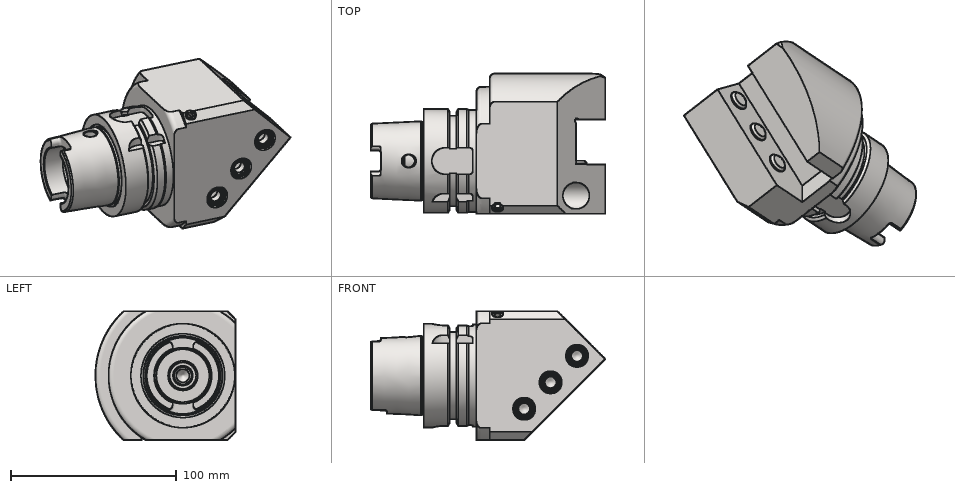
import cadquery as cq
import math


SHANK_LENGTH = 32.0
NOSE_RADIUS = 22.7
NOSE_CHAMFER = 0.9
TAPER_LARGE_RADIUS = 24.1
NECK_WIDTH = 1.7
NECK_BEVEL_WIDTH = 0.8
NECK_RADIUS = 23.8
FACE_GROOVE_RADIUS = 25.4
FACE_GROOVE_DEPTH = 0.8

BORE_RADIUS = 17.0
BORE_MOUTH_CHAMFER = 0.5
UNDERCUT_X = -19.5
BORE_FLOOR_X = -2.0
BORE_FLOOR_RADIUS = 16.0
UNDERCUT_RADIUS = 18.0
UNDERCUT_RAMP = 0.5
POST_RADIUS = 9.0
POST_END_X = -12.3
POST_CHAMFER = 1.0
PILOT_RADIUS = 6.0
PILOT_CHAMFER = 0.75
PILOT_LENGTH = 2.0
DIMPLE_RADIUS = 4.0
DIMPLE_DEPTH = 4.0

DRIVE_WIDTH = 12.5
DRIVE_TOP_DEPTH = 6.2
DRIVE_BOTTOM_DEPTH = 9.8
DRIVE_FLOOR_FILLET = 1.5
DRIVE_FLARE = 2.8
DRIVE_FLARE_START = 17.8
CLAMP_HOLE_DIAMETER = 7.5
CLAMP_RIM_DEPTH = 1.0
CLAMP_HOLE_X = -9.1

FLANGE_RADIUS = 31.5
REAR_COLLAR_RADIUS = 31.0
GROOVE_RADIUS = 27.5
GROOVE_START = 16.0
GROOVE_END = 19.8
GROOVE_CHAMFER = 1.3
COLLAR_STEP_START = 26.1
COLLAR_STEP_END = 27.2
KEY_WIDTH = 16.0
KEY_FLOOR = 26.5
KEY_START = 5.0
KEY_END = 29.8
KEY_CORNER_RADIUS = 2.0
NOTCH_OFFSET = 19.7
NOTCH_START = 4.9
NOTCH_END_RADIUS = 7.4

BODY_START = 32.0
COLLAR_LENGTH = 8.0
COLLAR_RADIUS = 45.0
BODY_RADIUS = 53.0
BODY_REAR_FILLET = 3.0
HALF_HEIGHT = 39.0
FRONT_FACE_Y = -32.0
FRONT_CHAMFER = 5.0
TIP_X = 110.0
TIP_Z = 10.0
TIP_BEVEL_LENGTH = 3.2
TIP_BEVEL_DEPTH = 1.7

SLOT_DEPTH = 25.0
SLOT_MIN_Y = -2.0
SLOT_MAX_Y = 25.0
RELIEF_RADIUS = 1.5
RELIEF_OVERCUT = 0.8

SCREW_COUNT = 3
SCREW_RADIUS = 6.0
SCREW_PITCH = 16.0 * math.sqrt(2)
SCREW_FROM_SLOT_FACE = 13.5
LAST_SCREW_FROM_TIP = 10.7
SCREW_RECESS = 1.5
SCREW_HOLE_CHAMFER = 0.8
SCREW_TOP_CHAMFER = 0.75
SCREW_PROTRUSION = 2.3
SCREW_POINT_CHAMFER = 1.5
SOCKET_RADIUS = 3.5
SOCKET_MOUTH_RADIUS = 4.3
SOCKET_DEPTH = 6.0

PASSAGE_DIAMETER = 16.0
PASSAGE_Y = -21.0
PASSAGE_OVERRUN = 2.0
NOZZLE_X = 44.8
NOZZLE_FROM_EDGE = 1.3
NOZZLE_RADIUS = 3.5
NOZZLE_SEAT_RADIUS = 3.0
NOZZLE_DEPTH = 1.5
NOZZLE_BORE_RADIUS = 1.73
NOZZLE_BORE_DEPTH = 5.0

COS45 = math.sqrt(0.5)
BODY_REAR_X = BODY_START + COLLAR_LENGTH
SLOT_REACH = 2 * TIP_X


def revolve_about_x(points):
    """Solid of revolution about X from (x, radius) points."""
    return cq.Workplane("XY").polyline(points).close().revolve(360, (0, 0, 0), (1, 0, 0))


def along_axis(points, origin, axis):
    """Turn (radius, depth) points into a solid whose depth runs from origin along axis."""
    frame = cq.Plane(origin=origin, normal=axis)
    profile = cq.Workplane(cq.Plane(origin=origin, xDir=frame.xDir, normal=-frame.yDir))
    return profile.polyline(points).close().revolve(360, (0, 0, 0), (0, 1, 0))


def box_between(x_range, y_range, z_range):
    sizes = [high - low for low, high in (x_range, y_range, z_range)]
    corner = cq.Vector(x_range[0], y_range[0], z_range[0])
    return cq.Workplane("XY").box(*sizes, centered=False).translate(corner)


def make_shank_and_flange():
    nose_x = -SHANK_LENGTH
    groove_depth = FLANGE_RADIUS - GROOVE_RADIUS
    points = [
        (nose_x, 0),
        (nose_x, NOSE_RADIUS - NOSE_CHAMFER),
        (nose_x + NOSE_CHAMFER, NOSE_RADIUS),
        (-NECK_WIDTH, TAPER_LARGE_RADIUS),
        (-NECK_WIDTH + NECK_BEVEL_WIDTH, NECK_RADIUS),
        (FACE_GROOVE_DEPTH, NECK_RADIUS),
        (FACE_GROOVE_DEPTH, FACE_GROOVE_RADIUS),
        (0, FACE_GROOVE_RADIUS),
        (0, FLANGE_RADIUS),
        (GROOVE_START - GROOVE_CHAMFER, FLANGE_RADIUS),
        (GROOVE_START, FLANGE_RADIUS - groove_depth / 2),
        (GROOVE_START, GROOVE_RADIUS),
        (GROOVE_END, GROOVE_RADIUS),
        (GROOVE_END, FLANGE_RADIUS - groove_depth / 2),
        (GROOVE_END + GROOVE_CHAMFER, FLANGE_RADIUS),
        (COLLAR_STEP_START, FLANGE_RADIUS),
        (COLLAR_STEP_END, REAR_COLLAR_RADIUS),
        (BODY_START, REAR_COLLAR_RADIUS),
        (BODY_START, 0),
    ]
    return revolve_about_x(points)


def make_bore():
    """Bore with an undercut and bevelled floor, around a stepped centre post with a conical dimple."""
    nose_x = -SHANK_LENGTH
    pilot_end_x = POST_END_X - PILOT_LENGTH
    floor_bevel = UNDERCUT_RADIUS - BORE_FLOOR_RADIUS
    points = [
        (nose_x, 0),
        (nose_x, BORE_RADIUS + BORE_MOUTH_CHAMFER),
        (nose_x + BORE_MOUTH_CHAMFER, BORE_RADIUS),
        (UNDERCUT_X, BORE_RADIUS),
        (UNDERCUT_X + UNDERCUT_RAMP, UNDERCUT_RADIUS),
        (BORE_FLOOR_X - floor_bevel, UNDERCUT_RADIUS),
        (BORE_FLOOR_X, BORE_FLOOR_RADIUS),
        (BORE_FLOOR_X, POST_RADIUS),
        (POST_END_X + POST_CHAMFER, POST_RADIUS),
        (POST_END_X, POST_RADIUS - POST_CHAMFER),
        (POST_END_X, PILOT_RADIUS),
        (pilot_end_x + PILOT_CHAMFER, PILOT_RADIUS),
        (pilot_end_x, PILOT_RADIUS - PILOT_CHAMFER),
        (pilot_end_x, DIMPLE_RADIUS),
        (pilot_end_x + DIMPLE_DEPTH, 0),
    ]
    return revolve_about_x(points)


def make_drive_slot(depth):
    """Upper drive slot, open at the nose, its walls flaring out near the taper surface."""
    half = DRIVE_WIDTH / 2
    flared_half = half + DRIVE_FLARE
    flare_top = DRIVE_FLARE_START + DRIVE_FLARE
    bend = DRIVE_FLARE * (1 - COS45)
    outline = (
        cq.Workplane("YZ", origin=(-SHANK_LENGTH, 0, 0))
        .moveTo(-half, 0)
        .lineTo(half, 0)
        .lineTo(half, DRIVE_FLARE_START)
        .threePointArc((half + bend, flare_top - bend), (flared_half, flare_top))
        .lineTo(flared_half, FLANGE_RADIUS)
        .lineTo(-flared_half, FLANGE_RADIUS)
        .lineTo(-flared_half, flare_top)
        .threePointArc((-half - bend, flare_top - bend), (-half, DRIVE_FLARE_START))
        .close()
    )
    return outline.extrude(depth).faces(">X").edges("not <Z").fillet(DRIVE_FLOOR_FILLET)


def make_keyway():
    """Upper flange keyway: round at the shank end, small corners at the body end."""
    half = KEY_WIDTH / 2
    straight_start = KEY_START + half
    outline = (
        cq.Workplane("XY", origin=(0, 0, KEY_FLOOR))
        .moveTo(straight_start, half)
        .threePointArc((KEY_START, 0), (straight_start, -half))
        .lineTo(KEY_END, -half)
        .lineTo(KEY_END, half)
        .close()
    )
    keyway = outline.extrude(FLANGE_RADIUS - KEY_FLOOR)
    return keyway.edges("|Z and >X").fillet(KEY_CORNER_RADIUS)


def make_orientation_notch():
    """Square-cornered notch at 45 degrees between -Y and +Z on the flange rim."""
    notch = box_between(
        (NOTCH_START, KEY_END),
        (-FLANGE_RADIUS, -NOTCH_OFFSET),
        (NOTCH_OFFSET, FLANGE_RADIUS),
    )
    notch = notch.edges("|Z and <X and >Y").fillet(NOTCH_END_RADIUS)
    return notch.edges("|Z and >X and >Y").fillet(KEY_CORNER_RADIUS)


def mirrored_below(solid):
    return solid.mirror("XY")


def make_clamp_hole():
    """Radial hole through the upper wall of the shank."""
    hole_radius = CLAMP_HOLE_DIAMETER / 2
    hole_start = (BORE_RADIUS + POST_RADIUS) / 2
    rim_start = TAPER_LARGE_RADIUS - CLAMP_RIM_DEPTH
    points = [
        (0, hole_start),
        (hole_radius, hole_start),
        (hole_radius, rim_start),
        (hole_radius + CLAMP_RIM_DEPTH, TAPER_LARGE_RADIUS),
        (0, TAPER_LARGE_RADIUS),
    ]
    return along_axis(points, (CLAMP_HOLE_X, 0, 0), (0, 0, 1))


def make_body():
    """Round stock trimmed to the flat sides and the two 45 degree front faces."""
    rear_collar = (
        cq.Workplane("YZ", origin=(BODY_START, 0, 0))
        .circle(COLLAR_RADIUS)
        .extrude(COLLAR_LENGTH)
        .faces("<X")
        .edges()
        .fillet(BODY_REAR_FILLET)
    )
    stock = (
        cq.Workplane("YZ", origin=(BODY_REAR_X, 0, 0))
        .circle(BODY_RADIUS)
        .extrude(TIP_X - BODY_REAR_X)
        .faces("<X")
        .edges()
        .fillet(BODY_REAR_FILLET)
        .faces(">X")
        .edges()
        .chamfer(TIP_BEVEL_LENGTH, TIP_BEVEL_DEPTH)
    )
    side_outline = (
        cq.Workplane("XZ", origin=(0, BODY_RADIUS, 0))
        .moveTo(BODY_START, -HALF_HEIGHT)
        .lineTo(TIP_X - (TIP_Z + HALF_HEIGHT), -HALF_HEIGHT)
        .lineTo(TIP_X, TIP_Z)
        .lineTo(TIP_X - (HALF_HEIGHT - TIP_Z), HALF_HEIGHT)
        .lineTo(BODY_START, HALF_HEIGHT)
        .close()
    )
    envelope = side_outline.extrude(BODY_RADIUS - FRONT_FACE_Y)
    envelope = envelope.faces("<Y").edges("|X").chamfer(FRONT_CHAMFER)
    collar_envelope = box_between(
        (BODY_START, BODY_REAR_X),
        (FRONT_FACE_Y, BODY_RADIUS),
        (-HALF_HEIGHT, HALF_HEIGHT),
    )
    body = stock.intersect(envelope).cut(make_tool_slot())
    return body.union(rear_collar.intersect(collar_envelope))


def make_tool_slot():
    """Slot open to the lower front face, running parallel to it through the body."""
    frame = cq.Plane(
        origin=(TIP_X, 0, TIP_Z),
        xDir=(0, 1, 0),
        normal=(COS45, 0, COS45),
    )
    inset = RELIEF_RADIUS - RELIEF_OVERCUT
    slot = (
        cq.Workplane(frame)
        .center((SLOT_MIN_Y + SLOT_MAX_Y) / 2, 0)
        .rect(SLOT_MAX_Y - SLOT_MIN_Y, 2 * SLOT_DEPTH)
        .extrude(SLOT_REACH, both=True)
    )
    corner_relief = (
        cq.Workplane(frame)
        .center(SLOT_MAX_Y - inset, SLOT_DEPTH - inset)
        .circle(RELIEF_RADIUS)
        .extrude(SLOT_REACH, both=True)
    )
    return slot.union(corner_relief)


def screw_positions():
    """(x, z) of the clamping screws, in a row parallel to the lower front face."""
    positions = []
    for index in range(SCREW_COUNT):
        along = LAST_SCREW_FROM_TIP + index * SCREW_PITCH
        x = TIP_X - (along + SCREW_FROM_SLOT_FACE) * COS45
        z = TIP_Z + (SCREW_FROM_SLOT_FACE - along) * COS45
        positions.append((x, z))
    return positions


def add_screws(part):
    wall = SLOT_MIN_Y - FRONT_FACE_Y
    socket_floor = SCREW_RECESS + SOCKET_DEPTH
    recess = [
        (0, 0),
        (SCREW_RADIUS + SCREW_HOLE_CHAMFER, 0),
        (SCREW_RADIUS, SCREW_HOLE_CHAMFER),
        (SCREW_RADIUS, SCREW_RECESS + SCREW_TOP_CHAMFER),
        (SCREW_RADIUS - SCREW_TOP_CHAMFER, SCREW_RECESS),
        (SOCKET_MOUTH_RADIUS, SCREW_RECESS),
        (SOCKET_RADIUS, SCREW_RECESS + SOCKET_MOUTH_RADIUS - SOCKET_RADIUS),
        (SOCKET_RADIUS, socket_floor),
        (0, socket_floor + SOCKET_RADIUS / 2),
    ]
    point_end = wall + SCREW_PROTRUSION
    point = [
        (0, wall),
        (SCREW_RADIUS, wall),
        (SCREW_RADIUS, point_end - SCREW_POINT_CHAMFER),
        (SCREW_RADIUS - SCREW_POINT_CHAMFER, point_end),
        (0, point_end),
    ]
    for x, z in screw_positions():
        origin = (x, FRONT_FACE_Y, z)
        part = part.cut(along_axis(recess, origin, (0, 1, 0)))
        part = part.union(along_axis(point, origin, (0, 1, 0)))
    return part


def make_passage():
    """Blind hole parallel to X whose mouth lies on the upper front face, level with the slot floor."""
    rise = SLOT_DEPTH * COS45
    radius = PASSAGE_DIAMETER / 2
    start = cq.Workplane("YZ", origin=(TIP_X, PASSAGE_Y, TIP_Z + rise))
    return start.circle(radius).extrude(-(rise + radius + PASSAGE_OVERRUN))


def make_nozzle():
    """Coolant nozzle seat sunk square into the upper front chamfer."""
    origin = (
        NOZZLE_X,
        FRONT_FACE_Y + FRONT_CHAMFER - NOZZLE_FROM_EDGE,
        HALF_HEIGHT - NOZZLE_FROM_EDGE,
    )
    points = [
        (0, -NOZZLE_RADIUS),
        (NOZZLE_RADIUS, -NOZZLE_RADIUS),
        (NOZZLE_RADIUS, 0),
        (NOZZLE_SEAT_RADIUS, NOZZLE_RADIUS - NOZZLE_SEAT_RADIUS),
        (NOZZLE_SEAT_RADIUS, NOZZLE_DEPTH),
        (NOZZLE_BORE_RADIUS, NOZZLE_DEPTH),
        (NOZZLE_BORE_RADIUS, NOZZLE_BORE_DEPTH),
        (0, NOZZLE_BORE_DEPTH + NOZZLE_BORE_RADIUS / 2),
    ]
    return along_axis(points, origin, (0, COS45, -COS45))


part = make_shank_and_flange()
part = part.cut(make_bore())
part = part.cut(make_drive_slot(DRIVE_TOP_DEPTH))
part = part.cut(mirrored_below(make_drive_slot(DRIVE_BOTTOM_DEPTH)))
part = part.cut(make_keyway())
part = part.cut(mirrored_below(make_keyway()))
part = part.cut(make_orientation_notch())
part = part.cut(make_clamp_hole())
part = part.union(make_body())
part = add_screws(part)
part = part.cut(make_passage())
result = part.cut(make_nozzle())